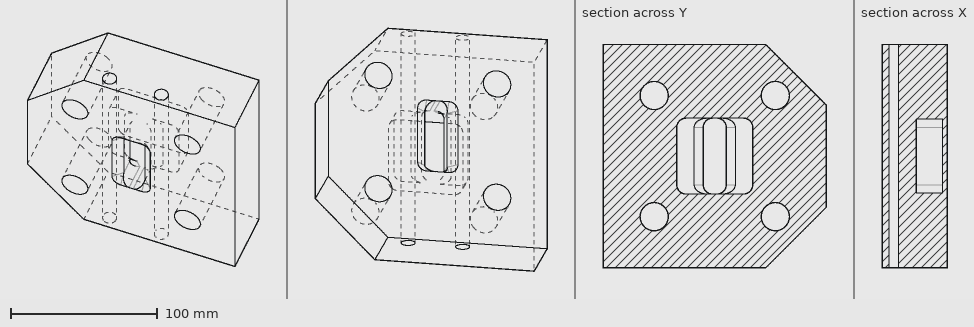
import cadquery as cq

side = 152.4
thickness = 44.5
corner_cut = 41.5

mount_pitch = 82.6
mount_diameter = 19.0

pin_pitch = 38.0
pin_diameter = 9.6
pin_depth = 8.0

slot_height = 51.7
throat_width = 15.5
throat_depth = 17.0
corner_radius = 6.2
flare = corner_radius
mouth_width = throat_width + 2 * flare
wall_depth = throat_depth + flare
chamber_width = slot_height
chamber_depth = 41.1
rim_land = 0.03


def front_plane(depth=0.0):
    """Plane parallel to the front face, with its normal pointing out of the part."""
    return cq.Workplane("XZ", origin=(0, depth, 0))


def make_block():
    half = side / 2
    inset = half - corner_cut
    outline = [
        (half, -half),
        (half, half),
        (-inset, half),
        (-half, inset),
        (-half, -inset),
        (-inset, -half),
    ]
    return front_plane().polyline(outline).close().extrude(-thickness)


def make_mount_holes():
    holes = front_plane().rect(mount_pitch, mount_pitch, forConstruction=True).vertices()
    return holes.circle(mount_diameter / 2).extrude(-thickness)


def make_pin_holes():
    centres = [(-pin_pitch / 2, pin_depth), (pin_pitch / 2, pin_depth)]
    plane = cq.Workplane("XY", origin=(0, 0, -side / 2))
    return plane.pushPoints(centres).circle(pin_diameter / 2).extrude(side)


def make_slot(width, start, end):
    """Slot-high prism between two depths, rounded at its four long edges."""
    prism = front_plane(start).rect(width, slot_height).extrude(start - end)
    return prism.edges("|Y").fillet(corner_radius)


def make_mouth():
    """Rounded pocket whose walls all slope inward at 45 degrees."""
    pocket = make_slot(mouth_width, 0, flare)
    return pocket.faces(">Y").chamfer(flare - rim_land)


def make_back_flare():
    """Widening of the throat towards the chamber, with 45 degree side walls."""
    inner_x = throat_width / 2 - corner_radius
    corners = [
        (-mouth_width / 2, wall_depth),
        (-throat_width / 2, throat_depth),
        (inner_x, throat_depth),
        (inner_x, wall_depth),
    ]
    prism = cq.Workplane("XY").polyline(corners).close().extrude(slot_height / 2, both=True)
    sloped_wall = prism.faces("not (|X or |Y or |Z)")
    left_side = sloped_wall.edges("not |Z").fillet(corner_radius)
    return left_side.union(left_side.mirror("YZ"))


result = (
    make_block()
    .cut(make_mount_holes())
    .cut(make_pin_holes())
    .cut(make_mouth())
    .cut(make_slot(throat_width, 0, wall_depth))
    .cut(make_back_flare())
    .cut(make_slot(chamber_width, wall_depth, chamber_depth))
)